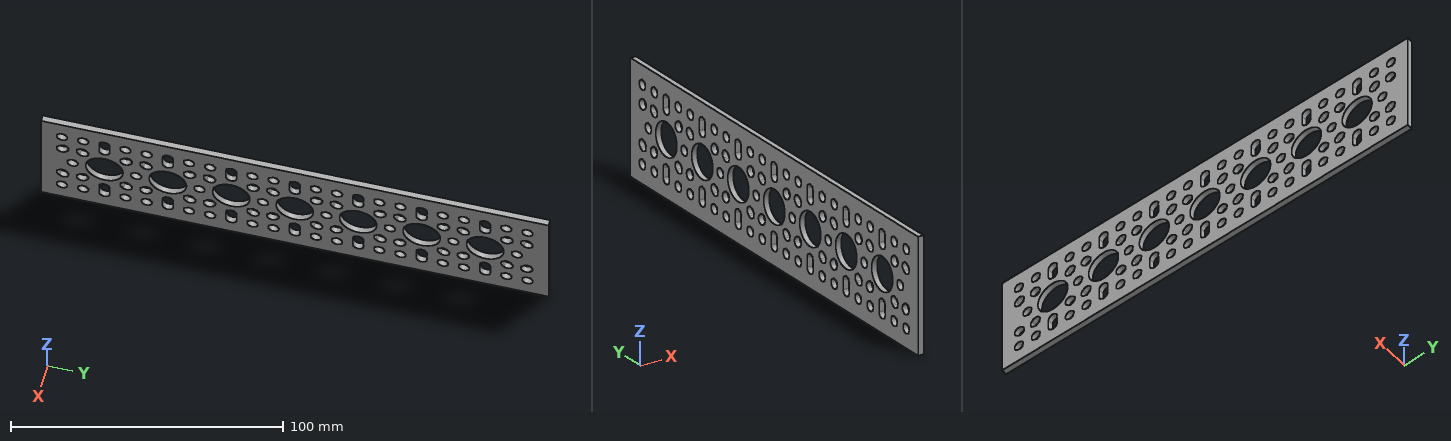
import cadquery as cq
import math

thickness = 2.5
length = 192.0
height = 48.0

grid = 8.0
module = 3 * grid
bore_count = 7
bore_diameter = 14.0
hole_diameter = 4.0

outer_row = 2 * grid
slot_length = 8.0
slot_center = outer_row + hole_diameter / 2 - slot_length / 2

bolt_circle_radius = module / 2
square_radius = math.hypot(grid, grid)
diagonal_length = bolt_circle_radius - square_radius + hole_diameter
diagonal_center = (bolt_circle_radius + square_radius) / 2 * math.sqrt(0.5)

bore_centers = [(i - (bore_count - 1) / 2) * module for i in range(bore_count)]
midway_centers = [(i - bore_count / 2) * module for i in range(bore_count + 1)]
end_centers = [-length / 2, length / 2]
module_centers = end_centers + bore_centers


def cutter_plane():
    """Sketch plane on the -X face; local x is Y and local y is Z."""
    return cq.Workplane("YZ", origin=(-thickness / 2, 0, 0))


def round_cutter(points, diameter):
    """Cylinders through the plate at the given (Y, Z) points."""
    return cutter_plane().pushPoints(points).circle(diameter / 2).extrude(thickness)


def slot_cutter(points, overall_length, angle):
    """Slots through the plate at the given (Y, Z) points, turned by angle from Y."""
    sketch = cutter_plane().pushPoints(points).slot2D(overall_length, hole_diameter, angle)
    return sketch.extrude(thickness)


def points_beside_modules(offset, side, z):
    """Points shifted along Y to one side of each module center, kept on the plate."""
    shifted = [center + side * offset for center in module_centers]
    return [(y, z) for y in shifted if abs(y) < length / 2]


plate = cq.Workplane("XY").box(thickness, length, height)

plate = plate.cut(round_cutter([(y, 0) for y in bore_centers], bore_diameter))

plate = plate.cut(round_cutter([(y, 0) for y in midway_centers], hole_diameter))

for z_side in (-1, 1):
    upright_points = [(y, z_side * slot_center) for y in bore_centers]
    plate = plate.cut(slot_cutter(upright_points, slot_length, 90))
    for y_side in (-1, 1):
        hole_points = points_beside_modules(grid, y_side, z_side * outer_row)
        plate = plate.cut(round_cutter(hole_points, hole_diameter))
        diagonal_points = points_beside_modules(diagonal_center, y_side, z_side * diagonal_center)
        plate = plate.cut(slot_cutter(diagonal_points, diagonal_length, 45 * y_side * z_side))

result = plate